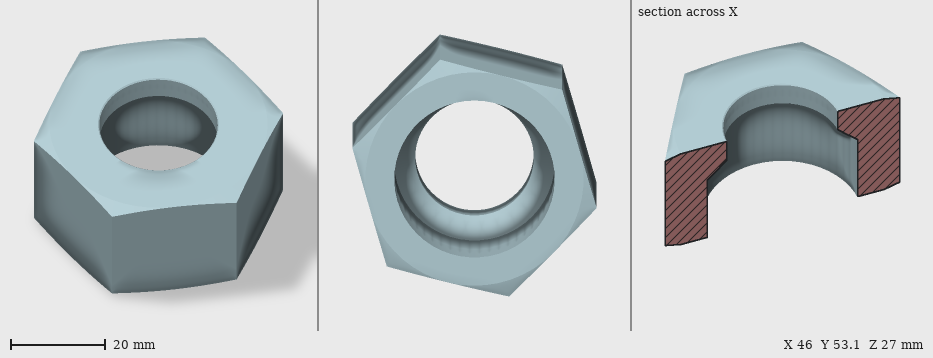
import cadquery as cq
import math

side_count = 6
across_flats = 46.0
height = 27.0
half_side_angle = 180 / side_count
across_corners = across_flats / math.cos(math.radians(half_side_angle))
end_chamfer_angle = 15.0
end_face_diameter = across_flats

bore_diameter = 25.0
bore_rim_chamfer = 0.25
socket_diameter = 33.84
socket_depth = 17.0
seat_half_angle = 45.0


def hexagon_body():
    """Hexagonal prism with two corners on the Y axis."""
    prism = cq.Workplane("XY").polygon(side_count, across_corners).extrude(height)
    return prism.rotate((0, 0, 0), (0, 0, 1), half_side_angle)


def chamfer_envelope():
    """Turned blank whose conical ends cut the corners of the hexagon."""
    face_radius = end_face_diameter / 2
    corner_radius = across_corners / 2
    corner_drop = (corner_radius - face_radius) * math.tan(math.radians(end_chamfer_angle))
    profile = [
        (0, 0),
        (face_radius, 0),
        (corner_radius, corner_drop),
        (corner_radius, height - corner_drop),
        (face_radius, height),
        (0, height),
    ]
    return cq.Workplane("XZ").polyline(profile).close().revolve(360, (0, 0, 0), (0, 1, 0))


def stepped_bore():
    """Bottom socket, conical seat, upper bore and its chamfered rim."""
    bore_radius = bore_diameter / 2
    socket_radius = socket_diameter / 2
    seat_height = (socket_radius - bore_radius) / math.tan(math.radians(seat_half_angle))
    profile = [
        (0, 0),
        (socket_radius, 0),
        (socket_radius, socket_depth),
        (bore_radius, socket_depth + seat_height),
        (bore_radius, height - bore_rim_chamfer),
        (bore_radius + bore_rim_chamfer, height),
        (0, height),
    ]
    return cq.Workplane("XZ").polyline(profile).close().revolve(360, (0, 0, 0), (0, 1, 0))


result = hexagon_body().intersect(chamfer_envelope()).cut(stepped_bore())